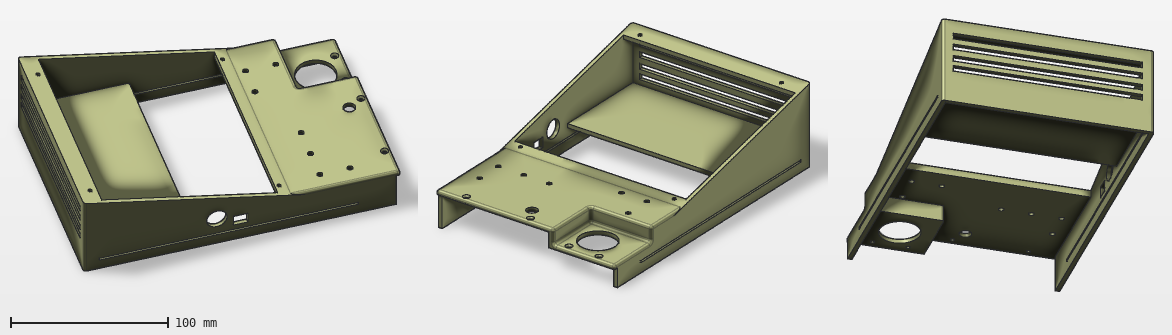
import cadquery as cq
import math

width = 141.0
length = 211.0
front_height = 60.0
deck_height = 28.0

wall = 3.0
deck_thickness = wall
edge_radius = 2.0
rear_lip = wall
wall_end_y = length - rear_lip

slope_start_y = 138.2
slope_rise = (front_height - deck_height) / slope_start_y
slope_angle = math.degrees(math.atan(slope_rise))
flange_drop = deck_thickness / math.cos(math.radians(slope_angle))

opening_front_y = 12.9
opening_rear_y = 130.0

platform_height = 16.9
platform_thickness = wall
platform_width = 48.0
platform_front_y = 171.0
step_wall = 3.8
step_corner_radius = 1.5

shelf_top = 18.8
shelf_thickness = wall
shelf_rear_y = 73.2

louvre_bottoms = (22.5, 30.0, 38.5, 46.5)
louvre_height = 4.0
louvre_left_x = 7.4
louvre_length = 125.5

side_slot_front_y = 10.3
side_slot_rear_y = 182.7
side_slot_bottom = 7.4
side_slot_height = 1.5

round_port = (88.6, 21.3)
round_port_diameter = 13.5
square_port = (104.5, 16.5)
square_port_length = 9.5
square_port_height = 7.5

dial_hole = (29.1, 189.2)
dial_diameter = 27.0
shaft_hole = (75.1, 197.3)
shaft_diameter = 8.0
post_pitch = 20.0
post_diameter = 3.5
left_post_corner = (23.5, 144.3)
right_post_corner = (128.0, 161.2)

screw_diameter = 2.5
screw_head_diameter = 5.0
screw_head_angle = 90
platform_screw_y = 206.0
platform_screws = [(x, platform_screw_y) for x in (16.0, 39.7)]
deck_screw_y = 206.8
deck_screws = [(x, deck_screw_y) for x in (69.5, 119.8)]

cover_screws = [(10.1, 133.1), (131.2, 133.1), (17.0, 8.2), (128.5, 8.2)]
cover_screw_diameter = 2.5
cover_screw_depth = 2.5


def block(x0, x1, y0, y1, z0, z1):
    """Box given by its limits along each axis."""
    return cq.Workplane("XY").box(x1 - x0, y1 - y0, z1 - z0, centered=False).translate((x0, y0, z0))


def side_profile(points, x0, x1):
    """Extrude a Y-Z outline from x0 to x1."""
    return cq.Workplane("YZ").polyline(points).close().extrude(x1 - x0).translate((x0, 0, 0))


def slope_z(y):
    """Height of the sloped top at a given y."""
    return deck_height + slope_rise * (slope_start_y - y)


def drill(centers, diameter, z0, z1):
    """Vertical cylinders between two heights."""
    return cq.Workplane("XY", origin=(0, 0, z0)).pushPoints(centers).circle(diameter / 2).extrude(z1 - z0)


def make_envelope():
    """Solid outside shape: rounded low body with a platform step, plus the front wedge."""
    low_body = block(0, width, 0, length, 0, deck_height)
    low_body = low_body.cut(block(0, platform_width, platform_front_y, length, platform_height, deck_height))

    step_corner = cq.selectors.NearestToPointSelector(
        (platform_width, platform_front_y, (platform_height + deck_height) / 2)
    )
    low_body = low_body.edges(step_corner).fillet(edge_radius)
    step_foot = cq.selectors.BoxSelector(
        (edge_radius, platform_front_y - wall, platform_height - wall),
        (platform_width + wall, length - edge_radius, platform_height + edge_radius),
    )
    low_body = low_body.edges(step_foot).fillet(edge_radius)
    low_body = low_body.edges("(<X or >X or <Y or >Y or >Z) and (not <Z)").fillet(edge_radius)

    foot_height = deck_height - edge_radius
    foot_y = slope_start_y + edge_radius / slope_rise
    wedge = side_profile([(0, 0), (foot_y, 0), (foot_y, foot_height), (0, front_height)], 0, width)
    wedge = wedge.edges("<Y and |Z").fillet(edge_radius)
    return low_body.union(wedge)


def make_cavity():
    """Hollow under the deck and slope, open at the bottom and the rear."""
    ceiling = deck_height - deck_thickness
    hollow = side_profile(
        [
            (wall, 0),
            (length, 0),
            (length, ceiling),
            (opening_rear_y, ceiling),
            (opening_rear_y, slope_z(opening_rear_y) - flange_drop),
            (wall, slope_z(wall) - flange_drop),
        ],
        wall,
        width - wall,
    )
    step_solid = block(
        0, platform_width + step_wall,
        platform_front_y - step_wall, length,
        platform_height - platform_thickness, deck_height,
    )
    step_solid = step_solid.edges("|Z and >X and <Y").fillet(step_corner_radius)
    return hollow.cut(step_solid)


def make_rear_notch():
    """Set-back of the side walls under the rear lip."""
    left = block(0, wall, wall_end_y, length, 0, platform_height - platform_thickness)
    right = block(width - wall, width, wall_end_y, length, 0, deck_height - deck_thickness)
    return left.union(right)


def make_shelf():
    """Shelf joined to the front wall and both side walls."""
    return block(wall / 2, width - wall / 2, wall / 2, shelf_rear_y, shelf_top - shelf_thickness, shelf_top)


def make_wall_openings():
    """Front louvres, long side slots and the two ports in the right wall."""
    cuts = block(
        0, width, side_slot_front_y, side_slot_rear_y,
        side_slot_bottom, side_slot_bottom + side_slot_height,
    )
    for z in louvre_bottoms:
        louvre = block(louvre_left_x, louvre_left_x + louvre_length, 0, wall, z, z + louvre_height)
        cuts = cuts.union(louvre)

    right_wall = cq.Workplane("YZ", origin=(width - wall, 0, 0))
    cuts = cuts.union(right_wall.center(*round_port).circle(round_port_diameter / 2).extrude(wall))
    return cuts.union(right_wall.center(*square_port).rect(square_port_length, square_port_height).extrude(wall))


def make_vertical_holes():
    """Round holes straight down through the platform and the deck."""
    left_x, left_y = left_post_corner
    right_x, right_y = right_post_corner
    posts = [
        (left_x, left_y),
        (left_x + post_pitch, left_y),
        (left_x, left_y + post_pitch),
        (right_x, right_y),
        (right_x - post_pitch, right_y),
        (right_x - 2 * post_pitch, right_y),
        (right_x, right_y + post_pitch),
    ]
    holes = drill(posts, post_diameter, 0, deck_height)
    holes = holes.union(drill([shaft_hole], shaft_diameter, 0, deck_height))
    return holes.union(drill([dial_hole], dial_diameter, 0, deck_height))


def drill_cover_screws(body):
    """Blind holes square to the sloped top."""
    for x, y in cover_screws:
        sloped = cq.Workplane("XY").transformed(
            offset=cq.Vector(x, y, slope_z(y)), rotate=cq.Vector(-slope_angle, 0, 0)
        )
        body = body.cut(sloped.circle(cover_screw_diameter / 2).extrude(-cover_screw_depth))
    return body


def drill_countersinks(body, centers, top):
    """Countersunk through holes from a level surface."""
    cone_depth = (screw_head_diameter - screw_diameter) / 2 / math.tan(math.radians(screw_head_angle / 2))
    for x, y in centers:
        cone = cq.Solid.makeCone(
            screw_diameter / 2, screw_head_diameter / 2, cone_depth, cq.Vector(x, y, top - cone_depth)
        )
        body = body.cut(cq.Workplane(cone))
    return body.cut(drill(centers, screw_diameter, 0, top))


result = make_envelope().cut(make_cavity()).cut(make_rear_notch())
result = result.cut(block(wall, width - wall, opening_front_y, opening_rear_y, 0, front_height))
result = result.union(make_shelf())
result = result.cut(make_wall_openings()).cut(make_vertical_holes())
result = drill_countersinks(result, platform_screws, platform_height)
result = drill_countersinks(result, deck_screws, deck_height)
result = drill_cover_screws(result)